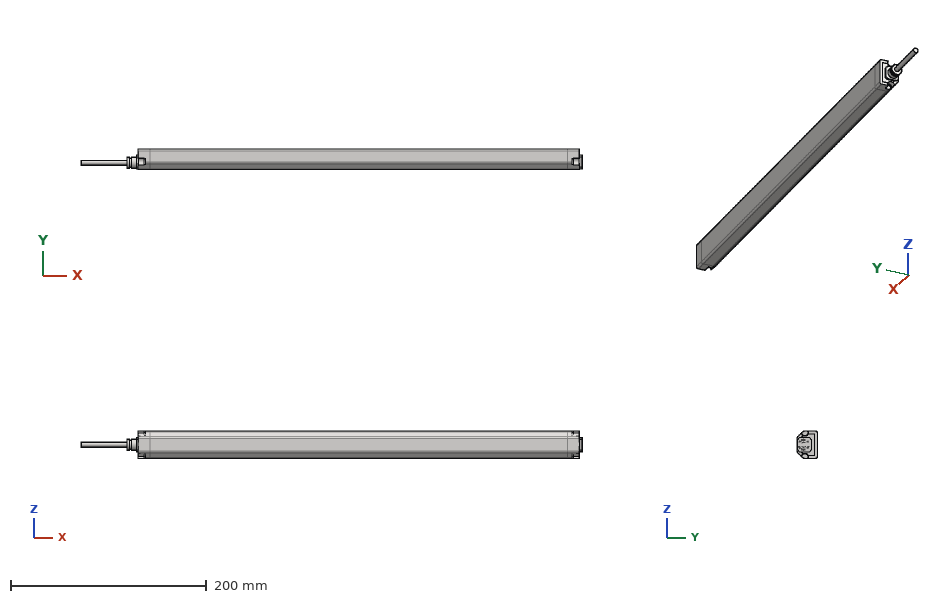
import cadquery as cq

total_length = 511.5
body_depth = 21.0
body_height = 28.0
body_start = 58.0
body_end = 508.5
cap_length = 12.5

front_chamfer = 6.5
top_round = 3.0
front_round = 2.5
back_round = 2.0

field_margin = 3.0
field_depth = 0.5
pad_height = 14.5
pad_depth = 14.5
pad_corner = 2.0
pad_front_gap = 0.5
pad_thickness = 1.5

recess_radius = 3.5
recess_length = 6.0
recess_tip_radius = 3.0
recess_tip_length = 7.5
recess_y = -2.3
recess_z = 12.5

cable_radius = 2.5
gland_radius = 5.5
gland_neck_radius = 4.5
gland_start = 46.5
gland_collar_length = 2.5
gland_neck_length = 2.0
cable_y = -3.5

back_y = body_depth / 2
front_y = -back_y
top_z = body_height / 2
chamfer_top_y = front_y + front_chamfer
chamfer_front_z = top_z - front_chamfer
pad_y = front_y + pad_front_gap + pad_depth / 2
left_seam = body_start + cap_length
right_seam = body_end - cap_length
left_pad_face = body_start - pad_thickness
right_pad_face = body_end + pad_thickness
bar_middle = (body_start + body_end) / 2


def section_outline(x):
    """Closed outline of the bar with sharp corners, in the YZ plane at x."""
    corners = [
        (back_y, -top_z),
        (chamfer_top_y, -top_z),
        (front_y, -chamfer_front_z),
        (front_y, chamfer_front_z),
        (chamfer_top_y, top_z),
        (back_y, top_z),
    ]
    return cq.Workplane("YZ", origin=(x, 0, 0)).polyline(corners).close()


def bar_piece(start_x, end_x):
    """Piece of the bar between two X positions, with its six long corners rounded."""
    piece = section_outline(start_x).extrude(end_x - start_x)
    middle_x = (start_x + end_x) / 2
    corner_rounds = [
        (back_y, top_z, back_round),
        (chamfer_top_y, top_z, top_round),
        (front_y, chamfer_front_z, front_round),
    ]
    for y, z, radius in corner_rounds:
        for side in (-1, 1):
            corner = cq.NearestToPointSelector((middle_x, y, side * z))
            piece = piece.edges(corner).fillet(radius)
    return piece


def pad(start_x, end_x):
    """Octagonal pad between two X positions."""
    block = cq.Workplane("YZ", origin=(start_x, pad_y, 0)).rect(pad_depth, pad_height)
    return block.extrude(end_x - start_x).edges("|X").chamfer(pad_corner)


def x_cylinder(radius, start_x, end_x, y, z):
    """Cylinder along X between two X positions."""
    return cq.Workplane("YZ", origin=(start_x, y, z)).circle(radius).extrude(end_x - start_x)


def make_left_cap():
    """Left end of the bar with its sunk field, pad and two screw recesses."""
    field_floor = body_start + field_depth
    cap = bar_piece(body_start, left_seam)
    cap = cap.cut(section_outline(body_start).offset2D(-field_margin).extrude(field_depth))
    cap = cap.union(pad(left_pad_face, field_floor))
    steps = [(recess_radius, recess_length), (recess_tip_radius, recess_tip_length)]
    for side in (-1, 1):
        for radius, length in steps:
            step_end = body_start + length
            cap = cap.cut(x_cylinder(radius, body_start, step_end, recess_y, side * recess_z))
    return cap


def make_housing():
    """Bar with mirrored end caps; the seams between the pieces stay as lines on its surface."""
    left_cap = make_left_cap()
    right_cap = left_cap.mirror("YZ", (bar_middle, 0, 0))
    cover = pad(right_pad_face, total_length)
    housing = bar_piece(left_seam, right_seam)
    for piece in (left_cap, right_cap, cover):
        housing = housing.union(piece, clean=False)
    return housing


def make_cable():
    """Cable with the collar, neck and nut of its gland, ending on the left pad."""
    neck_start = gland_start + gland_collar_length
    nut_start = neck_start + gland_neck_length
    cable = x_cylinder(cable_radius, 0, gland_start, cable_y, 0)
    gland_steps = [
        (gland_radius, gland_start, neck_start),
        (gland_neck_radius, neck_start, nut_start),
        (gland_radius, nut_start, left_pad_face),
    ]
    for radius, start_x, end_x in gland_steps:
        cable = cable.union(x_cylinder(radius, start_x, end_x, cable_y, 0))
    return cable


housing = make_housing()
cable = make_cable()
result = cq.Compound.makeCompound([housing.solids().val(), cable.solids().val()])